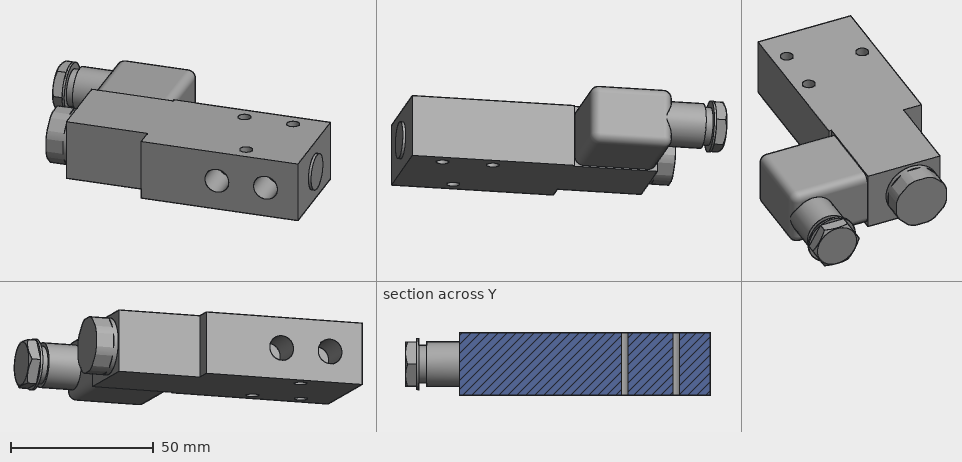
import cadquery as cq
import math

BLOCK_LENGTH = 58.0
BLOCK_WIDTH = 36.0
HEIGHT = 22.0
MID_Z = HEIGHT / 2

PORT_XS = (28.0, 46.0)
PORT_DIAMETER = 8.8
PORT_DEPTH = 14.0
MOUNT_DIAMETER = 4.5
MOUNT_INSET = 5.5

PLUG_DIAMETER = 13.0
PLUG_LENGTH = 1.0
BORE_Y = BLOCK_WIDTH / 2

COIL_LENGTH = 30.0
COIL_Y_MIN = 7.0
COIL_Y_MAX = 35.0

KNOB_DIAMETER = 20.0
KNOB_LENGTH = 8.0
KNOB_COLLAR = 1.6
KNOB_FLATS = 8
KNOB_ACROSS_FLATS = 19.4

CONNECTOR_X_MIN = -29.5
CONNECTOR_LENGTH = 29.0
CONNECTOR_Y_MAX = 64.0
CONNECTOR_HEIGHT = 21.0
CONNECTOR_RADIUS = 3.0

GLAND_Y = 56.0
SLEEVE_DIAMETER = 15.8
SLEEVE_END_X = -41.5
NECK_DIAMETER = 13.4
NUT_DIAMETER = 18.0
NUT_END_X = -49.0
NUT_FACE_DIAMETER = 15.2
NUT_CHAMFER_ANGLE = 30.0
FLANGE_INNER_X = -44.2
FLANGE_THICKNESS = 0.8


def cylinder_x(x_start, x_end, diameter, y):
    """Solid cylinder along X at mid height."""
    return (
        cq.Workplane("YZ", origin=(x_start, y, MID_Z))
        .circle(diameter / 2)
        .extrude(x_end - x_start)
    )


def make_block():
    block = cq.Workplane().box(BLOCK_LENGTH, BLOCK_WIDTH, HEIGHT, centered=False)
    mount_points = [(x, BLOCK_WIDTH - MOUNT_INSET) for x in PORT_XS]
    mount_points.append((sum(PORT_XS) / 2, MOUNT_INSET))
    mounts = cq.Workplane().pushPoints(mount_points).circle(MOUNT_DIAMETER / 2).extrude(HEIGHT)
    ports = (
        cq.Workplane("XZ")
        .pushPoints([(x, MID_Z) for x in PORT_XS])
        .circle(PORT_DIAMETER / 2)
        .extrude(-PORT_DEPTH)
    )
    plug = cylinder_x(BLOCK_LENGTH, BLOCK_LENGTH + PLUG_LENGTH, PLUG_DIAMETER, BORE_Y)
    return block.cut(mounts).cut(ports).union(plug)


def make_coil():
    return cq.Workplane(origin=(-COIL_LENGTH, COIL_Y_MIN, 0)).box(
        COIL_LENGTH, COIL_Y_MAX - COIL_Y_MIN, HEIGHT, centered=False
    )


def make_knob():
    """Round knob whose grip has evenly spaced shallow flats in front of a full collar."""
    x_front = -COIL_LENGTH - KNOB_LENGTH
    grip_length = KNOB_LENGTH - KNOB_COLLAR
    knob = cylinder_x(x_front, -COIL_LENGTH, KNOB_DIAMETER, BORE_Y)
    for index in range(KNOB_FLATS):
        cutter = (
            cq.Workplane(origin=(x_front, BORE_Y, MID_Z + KNOB_ACROSS_FLATS / 2))
            .box(grip_length, KNOB_DIAMETER, KNOB_DIAMETER, centered=(False, True, False))
            .rotate((0, BORE_Y, MID_Z), (1, BORE_Y, MID_Z), index * 360 / KNOB_FLATS)
        )
        knob = knob.cut(cutter)
    return knob


def make_connector():
    return (
        cq.Workplane(origin=(CONNECTOR_X_MIN, COIL_Y_MAX, MID_Z))
        .box(
            CONNECTOR_LENGTH,
            CONNECTOR_Y_MAX - COIL_Y_MAX,
            CONNECTOR_HEIGHT,
            centered=(False, False, True),
        )
        .edges("not <Y")
        .fillet(CONNECTOR_RADIUS)
    )


def make_nut():
    """Hexagon with corners along Y, its outer corners trimmed by a cone."""
    hexagon = (
        cq.Workplane("YZ", origin=(NUT_END_X, GLAND_Y, MID_Z))
        .polygon(6, NUT_DIAMETER)
        .extrude(FLANGE_INNER_X - NUT_END_X)
    )
    face_radius = NUT_FACE_DIAMETER / 2
    outer_radius = NUT_DIAMETER / 2
    chamfer_depth = (outer_radius - face_radius) * math.tan(math.radians(NUT_CHAMFER_ANGLE))
    envelope = (
        cq.Workplane("XY", origin=(0, GLAND_Y, MID_Z))
        .moveTo(NUT_END_X, 0)
        .lineTo(NUT_END_X, face_radius)
        .lineTo(NUT_END_X + chamfer_depth, outer_radius)
        .lineTo(FLANGE_INNER_X, outer_radius)
        .lineTo(FLANGE_INNER_X, 0)
        .close()
        .revolve(360, (0, 0), (1, 0))
    )
    return hexagon.intersect(envelope)


def make_gland():
    sleeve_root_x = CONNECTOR_X_MIN + CONNECTOR_RADIUS
    sleeve = cylinder_x(SLEEVE_END_X, sleeve_root_x, SLEEVE_DIAMETER, GLAND_Y)
    neck = cylinder_x(FLANGE_INNER_X, SLEEVE_END_X, NECK_DIAMETER, GLAND_Y)
    flange = cylinder_x(FLANGE_INNER_X - FLANGE_THICKNESS, FLANGE_INNER_X, NUT_DIAMETER, GLAND_Y)
    return sleeve.union(neck).union(flange).union(make_nut())


result = (
    make_block()
    .union(make_coil())
    .union(make_knob())
    .union(make_connector())
    .union(make_gland())
)